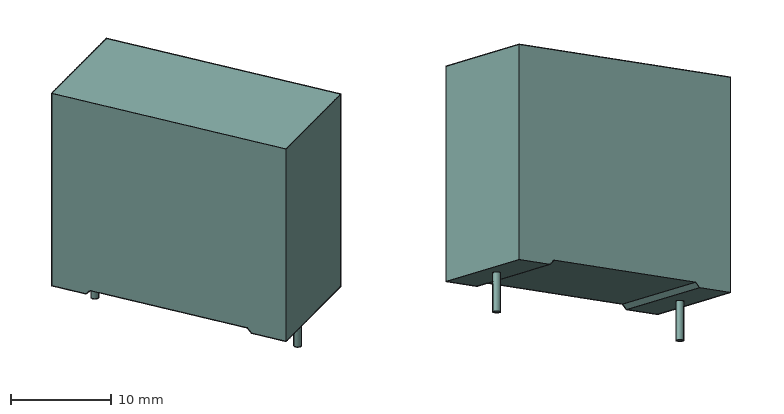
import cadquery as cq

body_length = 26.0
body_depth = 12.5
total_height = 26.0
pin_length = 4.0
body_height = total_height - pin_length

relief_bottom_length = 18.35
relief_top_length = 17.37
relief_height = 0.5

pin_diameter = 0.8
pin_spacing = 22.5


def make_body():
    """Body profile in XZ, standing on Z = 0, extruded through the full depth."""
    half_length = body_length / 2
    half_relief_bottom = relief_bottom_length / 2
    half_relief_top = relief_top_length / 2
    outline = [
        (-half_length, 0),
        (-half_relief_bottom, 0),
        (-half_relief_top, relief_height),
        (half_relief_top, relief_height),
        (half_relief_bottom, 0),
        (half_length, 0),
        (half_length, body_height),
        (-half_length, body_height),
    ]
    return cq.Workplane("XZ").polyline(outline).close().extrude(body_depth / 2, both=True)


def make_pins():
    """Two leads hanging from the feet, centred in the depth."""
    return (
        cq.Workplane("XY")
        .pushPoints([(-pin_spacing / 2, 0), (pin_spacing / 2, 0)])
        .circle(pin_diameter / 2)
        .extrude(-pin_length)
    )


result = make_body().union(make_pins())